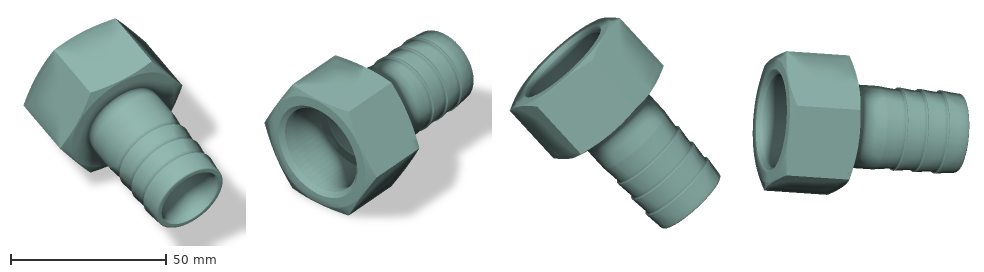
import cadquery as cq
import math

total_length = 63.0
nut_length = 24.0

hex_flats = 41.0
hex_corners = hex_flats / math.cos(math.radians(30))
face_radius = 20.05
corner_chamfer_angle = 20.0
bore_radius = 15.1
mouth_radius = 16.65
bore_depth = 21.05

tail_radius = 13.5
hole_radius = 11.0
hole_chamfer = 0.3
flange_radius = 14.75
flange_thickness = 3.0
flange_face_x = bore_depth - flange_thickness

barb_count = 4
barb_pitch = 7.0
barb_root_radius = 12.7
barb_fillet = 0.5
barbs_start_x = total_length - barb_count * barb_pitch


def revolve_about_x(profile):
    """Turn a closed profile drawn as (x, radius) about the X axis."""
    return profile.close().revolve(360, (0, 0, 0), (1, 0, 0))


def make_nut():
    hexagon = (
        cq.Workplane("YZ")
        .polygon(6, hex_corners)
        .extrude(nut_length)
    )

    corner_radius = hex_corners / 2
    chamfer_length = (corner_radius - face_radius) * math.tan(math.radians(corner_chamfer_angle))
    chamfer_envelope = revolve_about_x(
        cq.Workplane("XY")
        .moveTo(0, 0)
        .lineTo(0, face_radius)
        .lineTo(chamfer_length, corner_radius)
        .lineTo(nut_length - chamfer_length, corner_radius)
        .lineTo(nut_length, face_radius)
        .lineTo(nut_length, 0)
    )

    bore = revolve_about_x(
        cq.Workplane("XY")
        .moveTo(0, 0)
        .lineTo(0, mouth_radius)
        .lineTo(mouth_radius - bore_radius, bore_radius)
        .lineTo(bore_depth, bore_radius)
        .lineTo(bore_depth, tail_radius)
        .lineTo(nut_length, tail_radius)
        .lineTo(nut_length, 0)
    )
    return hexagon.intersect(chamfer_envelope).cut(bore)


def make_hose_tail():
    profile = (
        cq.Workplane("XY")
        .moveTo(flange_face_x, hole_radius + hole_chamfer)
        .lineTo(flange_face_x, flange_radius)
        .lineTo(bore_depth, flange_radius)
        .lineTo(bore_depth, tail_radius)
    )
    for barb in range(barb_count):
        barb_x = barbs_start_x + barb * barb_pitch
        profile = (
            profile
            .lineTo(barb_x, tail_radius)
            .lineTo(barb_x + barb_pitch, barb_root_radius)
        )
    profile = (
        profile
        .lineTo(total_length, hole_radius)
        .lineTo(flange_face_x + hole_chamfer, hole_radius)
    )
    tail = revolve_about_x(profile)

    root_edges = cq.selectors.RadiusNthSelector(2)
    return tail.edges(root_edges).fillet(barb_fillet)


nut = make_nut()
hose_tail = make_hose_tail()
result = cq.Compound.makeCompound([nut.val(), hose_tail.val()])